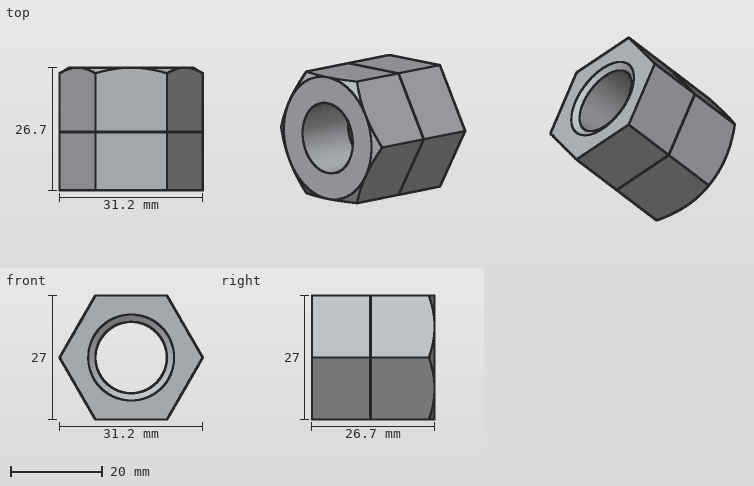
import cadquery as cq
import math

across_corners = 31.18
bore_diameter = 15.5
total_length = 26.7
front_length = 12.7
joint_gap = 0.1
countersink_diameter = 18.7
countersink_half_angle = 60.0
crown_angle = 30.0

corner_radius = across_corners / 2
crown_flat_radius = corner_radius * math.cos(math.pi / 6)
crown_drop = (corner_radius - crown_flat_radius) * math.tan(math.radians(crown_angle))
countersink_width = (countersink_diameter - bore_diameter) / 2
countersink_depth = countersink_width / math.tan(math.radians(countersink_half_angle))
front_face_y = -total_length / 2
back_face_y = total_length / 2
front_nut_end_y = front_face_y + front_length
back_nut_start_y = front_nut_end_y + joint_gap


def bored_hexagon(start_y, end_y):
    """Hexagonal prism along Y with two corners on the X axis and a through bore."""
    return (
        cq.Workplane("XZ", origin=(0, start_y, 0))
        .polygon(6, across_corners)
        .circle(bore_diameter / 2)
        .extrude(start_y - end_y)
    )


def countersink_cutter():
    """Cone that opens the bore at the front face."""
    return cq.Workplane(cq.Solid.makeCone(
        countersink_diameter / 2,
        bore_diameter / 2,
        countersink_depth,
        pnt=cq.Vector(0, front_face_y, 0),
        dir=cq.Vector(0, 1, 0),
    ))


def crown_envelope():
    """Round bar with a chamfered back end, which trims the hexagon corners."""
    profile = [
        (0, back_nut_start_y),
        (corner_radius, back_nut_start_y),
        (corner_radius, back_face_y - crown_drop),
        (crown_flat_radius, back_face_y),
        (0, back_face_y),
    ]
    return cq.Workplane("XY").polyline(profile).close().revolve(360, (0, 0, 0), (0, 1, 0))


def make_front_nut():
    """Plain hexagon with a countersunk bore."""
    return bored_hexagon(front_face_y, front_nut_end_y).cut(countersink_cutter())


def make_back_nut():
    """Hexagon whose back corners are chamfered."""
    return bored_hexagon(back_nut_start_y, back_face_y).intersect(crown_envelope())


front_nut = make_front_nut()
back_nut = make_back_nut()

result = cq.Compound.makeCompound([front_nut.val(), back_nut.val()])